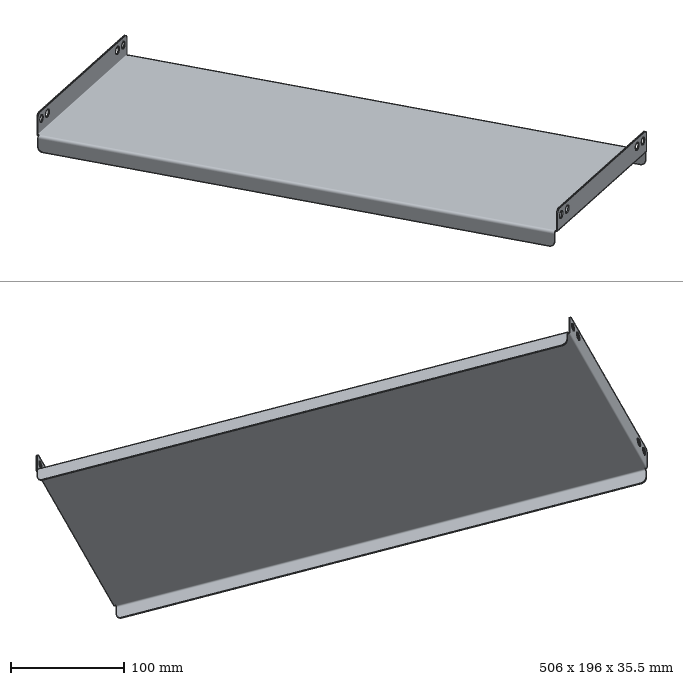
import cadquery as cq

length = 506.0
width = 196.0
height = 35.5

sheet = 1.2
tab_bend_inner = 0.5
tab_bend_outer = tab_bend_inner + sheet
lip_bend_inner = 1.5
lip_bend_outer = lip_bend_inner + sheet
panel_top = 15.0
panel_bottom = panel_top - sheet

lip_end_inset = 2.0
lip_corner_radius = 5.0
tab_width = width - 2 * lip_bend_outer
tab_corner_radius = 4.0
lip_length = length - 2 * lip_end_inset

hole_diameter = 7.0
hole_below_top = 7.5
hole_z = height - hole_below_top
round_hole_y = 87.5
slot_length = 8.0
slot_y = 75.0

flat_length = length - 2 * tab_bend_outer
flat_width = width - 2 * lip_bend_outer


def bent_flange(flat_size, bend_inner, flange_end, direction):
    """Profile of a flange bent off the panel edge; direction +1 is up, -1 is down."""
    bend_outer = bend_inner + sheet
    start = flat_size / 2
    inside = panel_top if direction > 0 else panel_bottom
    outside = panel_bottom if direction > 0 else panel_top
    center_z = inside + direction * bend_inner
    diagonal = 0.5 ** 0.5
    return (
        cq.Workplane("XZ")
        .moveTo(start, outside)
        .threePointArc(
            (start + bend_outer * diagonal, center_z - direction * bend_outer * diagonal),
            (start + bend_outer, center_z),
        )
        .lineTo(start + bend_outer, flange_end)
        .lineTo(start + bend_inner, flange_end)
        .lineTo(start + bend_inner, center_z)
        .threePointArc(
            (start + bend_inner * diagonal, center_z - direction * bend_inner * diagonal),
            (start, inside),
        )
        .close()
    )


def make_tab():
    """Upward flange at the +X end, with rounded top corners and its holes."""
    tab = bent_flange(flat_length, tab_bend_inner, height, 1).extrude(tab_width / 2, both=True)
    tab = tab.faces(">Z").edges("|X").fillet(tab_corner_radius)
    for side in (-1, 1):
        hole = cq.Workplane("YZ").center(side * round_hole_y, hole_z).circle(hole_diameter / 2)
        slot = cq.Workplane("YZ").center(side * slot_y, hole_z).slot2D(slot_length, hole_diameter)
        tab = tab.cut(hole.extrude(length)).cut(slot.extrude(length))
    return tab


def make_lip():
    """Downward flange along the -Y side, with rounded bottom corners."""
    lip = bent_flange(flat_width, lip_bend_inner, 0, -1).extrude(lip_length / 2, both=True)
    lip = lip.rotate((0, 0, 0), (0, 0, 1), -90)
    return lip.faces("<Z").edges("|Y").fillet(lip_corner_radius)


panel = cq.Workplane("XY").box(flat_length, flat_width, sheet, centered=(True, True, False))
result = panel.translate((0, 0, panel_bottom))

for flange, mirror_plane in ((make_tab(), "YZ"), (make_lip(), "XZ")):
    result = result.union(flange).union(flange.mirror(mirror_plane))